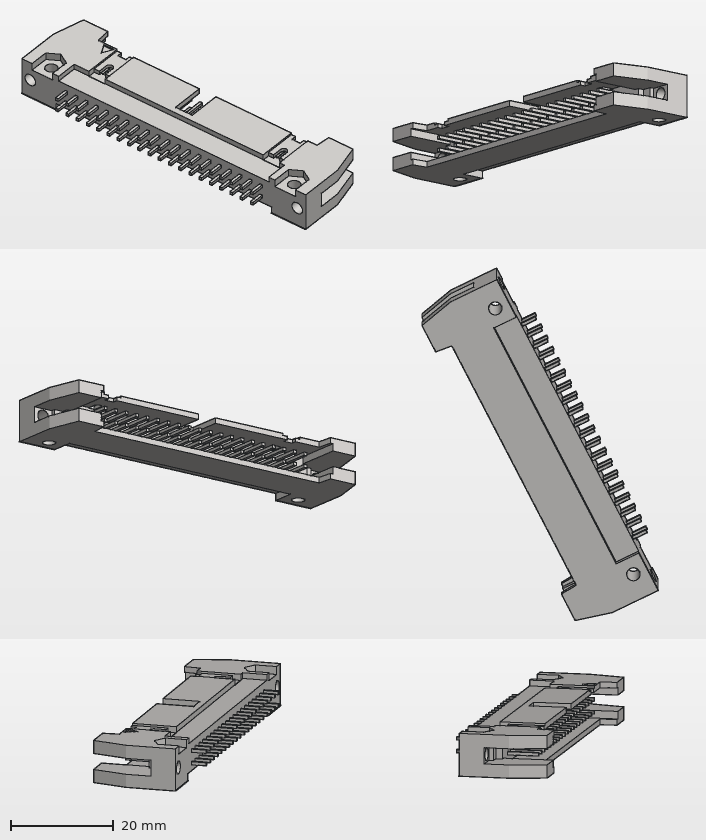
import cadquery as cq
import math

length = 70.4
height = 8.5
pin_tail = 3.0
body_depth = 17.2
half_length = length / 2
half_height = height / 2
over = 1.0

shroud_front = 13.85
ear_taper_start = 10.0
ear_tip_outer = 33.4
ear_tip_inner = 27.4
ear_root = 27.1

wall = 1.15
cavity_half_height = half_height - wall
cavity_half_length = 28.0
cavity_floor = 7.2

channel_height = 3.2
channel_floor = 5.0
channel_step = 5.9
channel_step_x = 31.0
channel_end_x = 29.0

top_step_half_length = 26.05
top_step_depth = 4.9
bottom_step_half_length = 26.7
bottom_step_depth = 4.9
bottom_step_height = 1.45
lip_size = 0.1

hole_diameter = 2.6
nut_x = 30.1
nut_y = 2.85
nut_width = 5.1
nut_pocket_depth = 1.6
rear_hole_x = 33.1

key_width = 4.1
key_bottom = 6.35

window_left_x = -20.4
window_right_x = 22.8
window_width = 4.05
window_relief = 0.4
window_pocket_depth = 1.25
window_ledge = 6.6
window_slot_width = 1.5
window_slot_end = 9.6
window_notch_width = 2.0
window_notch_depth = 1.1

mark_x = -24.15
mark_width = 2.5
mark_base_y = 13.4
mark_tip_y = 11.0
mark_depth = 0.3

pin_columns = 20
pin_rows = 2
pin_pitch = 2.54
pin_size = 0.64
pin_front = 13.4


def block(x_min, x_max, y_min, y_max, z_min, z_max):
    """Axis-aligned box given by its limits."""
    size = (x_max - x_min, y_max - y_min, z_max - z_min)
    return cq.Workplane("XY").box(*size, centered=False).translate((x_min, y_min, z_min))


def prism(points, z_min, z_max):
    """Upright prism over a closed XY outline."""
    return cq.Workplane("XY").workplane(offset=z_min).polyline(points).close().extrude(z_max - z_min)


def make_housing():
    right_side = [
        (half_length, 0),
        (half_length, ear_taper_start),
        (ear_tip_outer, body_depth),
        (ear_tip_inner, body_depth),
        (ear_root, shroud_front),
    ]
    left_side = [(-x, y) for x, y in reversed(right_side)]
    return prism(right_side + left_side, -half_height, half_height)


def make_cavity():
    return block(
        -cavity_half_length, cavity_half_length,
        cavity_floor, body_depth + over,
        -cavity_half_height, cavity_half_height,
    )


def make_latch_channel():
    """Channel at the +X end, its floor rising in two steps to the cavity floor."""
    outline = [
        (half_length + over, channel_floor),
        (channel_step_x, channel_floor),
        (channel_step_x, channel_step),
        (channel_end_x, channel_step),
        (channel_end_x, cavity_floor),
        (0, cavity_floor),
        (0, body_depth + over),
        (half_length + over, body_depth + over),
    ]
    return prism(outline, -channel_height / 2, channel_height / 2)


def make_rear_steps():
    top = block(
        -top_step_half_length, top_step_half_length,
        -over, top_step_depth,
        cavity_half_height, half_height + over,
    )
    bottom = block(
        -bottom_step_half_length, bottom_step_half_length,
        -over, bottom_step_depth,
        -half_height - over, -half_height + bottom_step_height,
    )
    return top.union(bottom)


def make_rear_lip():
    """Thin lip along the lower edge of the rear face at the +X end."""
    return block(bottom_step_half_length, half_length, -lip_size, over, -half_height, -half_height + lip_size)


def make_ear_holes():
    """Nut pocket with its screw hole, and the hole from the rear face, at the +X end."""
    half_width = nut_width / 2
    rise = half_width * math.tan(math.radians(30))
    shoulder = nut_y + rise
    outline = [
        (nut_x - half_width, -over),
        (nut_x + half_width, -over),
        (nut_x + half_width, shoulder),
        (nut_x, shoulder + rise),
        (nut_x - half_width, shoulder),
    ]
    pocket = prism(outline, half_height - nut_pocket_depth, half_height + over)
    screw_hole = cq.Workplane("XY").center(nut_x, nut_y).circle(hole_diameter / 2).extrude(height, both=True)
    rear_hole = (
        cq.Workplane("XZ", origin=(rear_hole_x, -over, 0))
        .circle(hole_diameter / 2)
        .extrude(-(channel_floor + 2 * over))
    )
    return pocket.union(screw_hole).union(rear_hole)


def make_key_notch():
    return block(
        -key_width / 2, key_width / 2,
        key_bottom, shroud_front + over,
        cavity_half_height, half_height + over,
    )


def make_window(window_x):
    """Relief centred on window_x, with a rear pocket, a round-ended slot and a front notch."""
    x_min = window_x - window_width / 2
    x_max = window_x + window_width / 2
    top = half_height + over
    relief = block(x_min, x_max, 0, shroud_front + over, half_height - window_relief, top)
    rear_pocket = block(x_min, x_max, top_step_depth, window_ledge, half_height - window_pocket_depth, top)
    radius = window_slot_width / 2
    arc_centre = window_slot_end - radius
    slot = (
        cq.Workplane("XY")
        .workplane(offset=half_height - window_pocket_depth)
        .moveTo(window_x - radius, top_step_depth)
        .lineTo(window_x + radius, top_step_depth)
        .lineTo(window_x + radius, arc_centre)
        .threePointArc((window_x, window_slot_end), (window_x - radius, arc_centre))
        .close()
        .extrude(window_pocket_depth + over)
    )
    notch = block(
        window_x - window_notch_width / 2, window_x + window_notch_width / 2,
        shroud_front - window_notch_depth, shroud_front + over,
        cavity_half_height, top,
    )
    return relief.union(rear_pocket).union(slot).union(notch)


def make_pin_one_mark():
    outline = [
        (mark_x - mark_width / 2, mark_base_y),
        (mark_x, mark_tip_y),
        (mark_x + mark_width / 2, mark_base_y),
    ]
    return prism(outline, half_height - mark_depth, half_height + over)


def make_pins():
    return (
        cq.Workplane("XZ", origin=(0, -pin_tail, 0))
        .rarray(pin_pitch, pin_pitch, pin_columns, pin_rows)
        .rect(pin_size, pin_size)
        .extrude(-(pin_front + pin_tail))
    )


def at_both_ends(shape):
    return shape.union(shape.mirror("YZ"))


housing = make_housing().union(at_both_ends(make_rear_lip()))
housing = housing.cut(make_cavity())
housing = housing.cut(at_both_ends(make_latch_channel()))
housing = housing.cut(make_rear_steps())
housing = housing.cut(at_both_ends(make_ear_holes()))
housing = housing.cut(make_key_notch())
for x in (window_left_x, window_right_x):
    housing = housing.cut(make_window(x))
housing = housing.cut(make_pin_one_mark())
result = housing.union(make_pins())